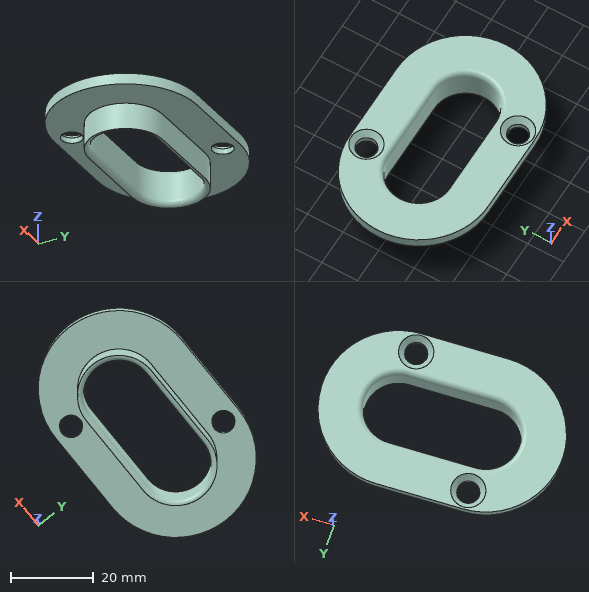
import cadquery as cq

arc_spacing = 22.0
flange_width = 39.0
flange_thickness = 3.0
collar_width = 20.0
total_height = 10.0
wall = 1.5
rim_radius = 1.45
screw_hole_diameter = 5.5
countersink_diameter = 8.5
countersink_angle = 90.0
screw_offset_y = 14.75

collar_height = total_height - flange_thickness
opening_width = collar_width - 2 * wall


def oval(width, bottom, height):
    """Straight-sided oval prism, long axis along X, standing on Z = bottom."""
    return (
        cq.Workplane("XY")
        .workplane(offset=bottom)
        .slot2D(arc_spacing + width, width)
        .extrude(height)
    )


def make_body():
    """Flange on top of the collar, with the opening cut through both."""
    flange = oval(flange_width, collar_height, flange_thickness)
    collar = oval(collar_width, 0, total_height)
    opening = oval(opening_width, 0, total_height)
    return flange.union(collar).cut(opening)


def round_opening(body, face):
    """Round the edge of the opening on the selected end face."""
    rim = body.faces(face).val().innerWires()[0]
    return body.newObject(rim.Edges()).fillet(rim_radius)


def add_screw_holes(body):
    """Two countersunk holes, diagonally opposite, in line with the arc centres."""
    screw_x = arc_spacing / 2
    return (
        body.faces(">Z")
        .workplane(origin=(0, 0, total_height))
        .pushPoints([(-screw_x, screw_offset_y), (screw_x, -screw_offset_y)])
        .cskHole(screw_hole_diameter, countersink_diameter, countersink_angle)
    )


body = make_body()
body = round_opening(body, ">Z")
body = round_opening(body, "<Z")
result = add_screw_holes(body)